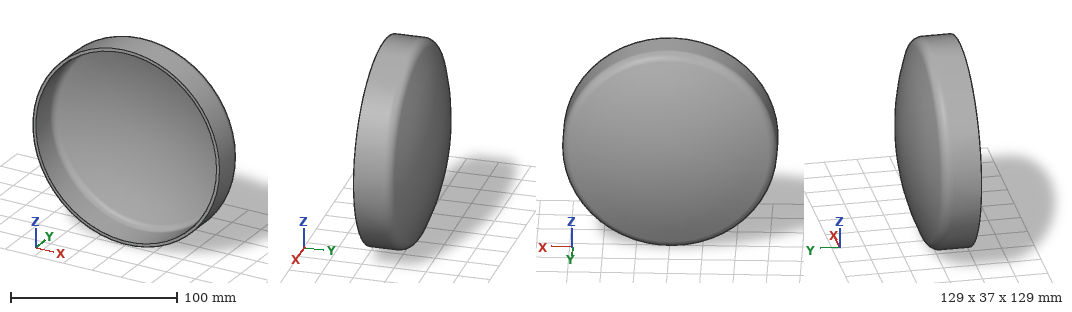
import cadquery as cq
import math

outer_radius = 64.5
wall = 2.0
skirt_length = 17.5
total_height = 37.0
knuckle_radius = 7.2

knuckle_center_x = outer_radius - knuckle_radius
dish_height = total_height - skirt_length
crown_radius = (knuckle_center_x**2 + dish_height**2 - knuckle_radius**2) / (
    2 * (dish_height - knuckle_radius)
)
crown_center_y = total_height - crown_radius
crown_angle = math.asin(knuckle_center_x / (crown_radius - knuckle_radius))


def polar_point(center_x, center_y, radius, angle):
    """Point on an arc, with the angle measured from the Y axis."""
    return (center_x + radius * math.sin(angle), center_y + radius * math.cos(angle))


def dished_solid(inset):
    """Solid bounded by the outer surface moved inward by inset."""
    knuckle = knuckle_radius - inset
    crown = crown_radius - inset
    knuckle_mid_angle = (crown_angle + math.pi / 2) / 2
    profile = (
        cq.Workplane("XY")
        .lineTo(outer_radius - inset, 0)
        .lineTo(outer_radius - inset, skirt_length)
        .threePointArc(
            polar_point(knuckle_center_x, skirt_length, knuckle, knuckle_mid_angle),
            polar_point(knuckle_center_x, skirt_length, knuckle, crown_angle),
        )
        .threePointArc(
            polar_point(0, crown_center_y, crown, crown_angle / 2),
            (0, total_height - inset),
        )
        .close()
    )
    return profile.revolve(360, (0, 0, 0), (0, 1, 0))


result = dished_solid(0).cut(dished_solid(wall))